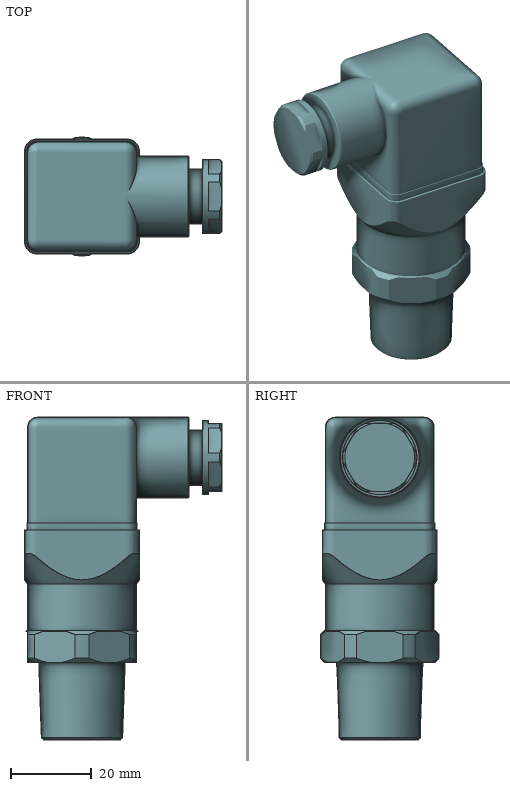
import cadquery as cq

HEX_BOTTOM = 19.2
HEX_FLATS_TOP = 26.9
HEX_TOP = 27.1
COLLAR_BOTTOM = 38.65
COLLAR_CONE_TOP = 46.25
COLLAR_TOP = 52.0
SEAT_TOP = 53.8
HOOD_TOP = 80.0

THREAD_TOP_RADIUS = 10.7
THREAD_TIP_RADIUS = 10.1
THREAD_CHAMFER = 0.6

HEX_ACROSS_FLATS = 27.05
HEX_CORNER_RADIUS = 14.7
HEX_CHAMFER = 1.05

BARREL_RADIUS = 13.5

COLLAR_WIDTH = 28.5
COLLAR_FILLET = 3.1
COLLAR_CORNER_RADIUS = 18.8
SEAT_INSET = 0.6

HOOD_WIDTH = 27.0
HOOD_FILLET = 2.6

OUTLET_RADIUS = 10.0
OUTLET_Z = HOOD_TOP - OUTLET_RADIUS
OUTLET_END = 26.6
OUTLET_CHAMFER = 0.25
NECK_RADIUS = 6.9

NUT_START = 29.9
NUT_FLATS_START = 31.4
NUT_END = 34.7
NUT_RADIUS = 9.2
NUT_ACROSS_FLATS = 17.0
NUT_CHAMFER = 0.6

HEX_SIDES = 6
HEX_CORNERS_PER_FLATS = 2 / 3 ** 0.5


def cylinder_z(radius, bottom, top):
    return cq.Workplane("XY").workplane(offset=bottom).circle(radius).extrude(top - bottom)


def cylinder_x(radius, start, end):
    plane = cq.Workplane("YZ", origin=(start, 0, OUTLET_Z))
    return plane.circle(radius).extrude(end - start)


def rounded_square(width, fillet, bottom, top):
    plane = cq.Workplane("XY").workplane(offset=bottom)
    return plane.rect(width, width).extrude(top - bottom).edges("|Z").fillet(fillet)


def make_thread():
    profile = [
        (0, 0),
        (THREAD_TIP_RADIUS - THREAD_CHAMFER, 0),
        (THREAD_TIP_RADIUS, THREAD_CHAMFER),
        (THREAD_TOP_RADIUS, HEX_BOTTOM),
        (0, HEX_BOTTOM),
    ]
    return cq.Workplane("XZ").polyline(profile).close().revolve(360, (0, 0), (0, 1))


def make_wrench_hexagon():
    """Chamfered round blank with six flats, two facing +-X, that stop just below its top face."""
    blank = cylinder_z(HEX_CORNER_RADIUS, HEX_BOTTOM, HEX_TOP).edges().chamfer(HEX_CHAMFER)
    hexagon = (
        cq.Workplane("XY")
        .workplane(offset=HEX_BOTTOM)
        .transformed(rotate=(0, 0, 180 / HEX_SIDES))
        .polygon(HEX_SIDES, HEX_ACROSS_FLATS * HEX_CORNERS_PER_FLATS)
        .extrude(HEX_FLATS_TOP - HEX_BOTTOM)
    )
    rim = cylinder_z(HEX_CORNER_RADIUS, HEX_FLATS_TOP, HEX_TOP)
    return blank.intersect(hexagon.union(rim))


def make_collar():
    """Rounded square block trimmed by a turned shape with a conical underside."""
    block = rounded_square(COLLAR_WIDTH, COLLAR_FILLET, COLLAR_BOTTOM, COLLAR_TOP)
    profile = [
        (0, COLLAR_BOTTOM),
        (BARREL_RADIUS, COLLAR_BOTTOM),
        (COLLAR_CORNER_RADIUS, COLLAR_CONE_TOP),
        (COLLAR_CORNER_RADIUS, COLLAR_TOP),
        (0, COLLAR_TOP),
    ]
    turned = cq.Workplane("XZ").polyline(profile).close().revolve(360, (0, 0), (0, 1))
    return block.intersect(turned)


def make_seat():
    width = COLLAR_WIDTH - 2 * SEAT_INSET
    return rounded_square(width, COLLAR_FILLET - SEAT_INSET, COLLAR_TOP, SEAT_TOP)


def make_sensor():
    barrel = cylinder_z(BARREL_RADIUS, HEX_TOP, COLLAR_BOTTOM)
    return make_thread().union(make_wrench_hexagon()).union(barrel).union(make_collar()).union(make_seat())


def make_hood():
    block = rounded_square(HOOD_WIDTH, HOOD_FILLET, SEAT_TOP, HOOD_TOP)
    return block.faces(">Z").edges().fillet(HOOD_FILLET)


def make_cable_outlet():
    sleeve = cylinder_x(OUTLET_RADIUS, 0, OUTLET_END).faces(">X").edges().chamfer(OUTLET_CHAMFER)
    neck = cylinder_x(NECK_RADIUS, OUTLET_END, NUT_START)
    return sleeve.union(neck)


def make_gland_nut():
    """Round nut with six flats, two of them facing +-Z."""
    nut = cylinder_x(NUT_RADIUS, NUT_START, NUT_END).faces(">X").edges().chamfer(NUT_CHAMFER)
    hexagon = (
        cq.Workplane("YZ", origin=(NUT_FLATS_START, 0, OUTLET_Z))
        .polygon(HEX_SIDES, NUT_ACROSS_FLATS * HEX_CORNERS_PER_FLATS)
        .extrude(NUT_END - NUT_FLATS_START)
    )
    flange = cylinder_x(NUT_RADIUS, NUT_START, NUT_FLATS_START)
    return nut.intersect(flange.union(hexagon))


def make_connector():
    return make_hood().union(make_cable_outlet()).union(make_gland_nut())


sensor = make_sensor()
connector = make_connector()

result = cq.Compound.makeCompound([sensor.val(), connector.val()])